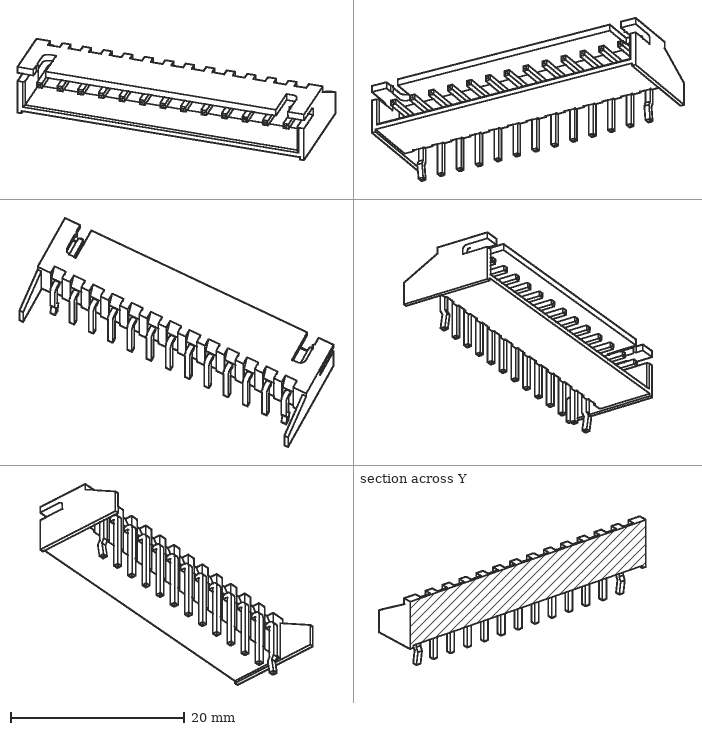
import cadquery as cq

LENGTH = 34.9
BODY_DEPTH = 6.9
HEIGHT = 6.1
TOP_PLATE = 0.8
FLOOR_UNDERSIDE = 0.3
FLOOR_THICKNESS = 0.77
SIDE_WALL = 0.87
CAVITY_DEPTH = 5.0
MOUTH_CHAMFER = 0.2

TOTAL_DEPTH = 11.5
EAR_THICKNESS = 0.5
EAR_TOP_DROP = 3.28

WINDOW_DEPTH = 3.4
WINDOW_DROP = 1.9
WINDOW_RADIUS = 0.5

SLOT_INSET = 1.95
SLOT_WIDTH = 1.45
SLOT_DEPTH = 3.87
SLOT_RADIUS = 0.75
BUMP_HEIGHT = 0.2
BUMP_Y = 1.15

PIN_COUNT = 13
PIN_END_INSET = 2.45
PIN_SIZE = 0.63
PIN_TIP_Y = 0.55
PIN_REAR_Y = 7.9
PIN_CENTRE_Z = 3.7
PIN_BOTTOM = -3.4
TIP_CHAMFER = 0.17
RELIEF_WIDTH = 1.45
RELIEF_DEPTH = 0.2
RAMP_DEPTH = 0.95
RAMP_DROP = 1.92

KINK_OFFSET = 0.28
KINK_START_Z = -0.95
KINK_PEAK_Z = -1.5

HALF_LENGTH = LENGTH / 2
PLATE_UNDERSIDE = HEIGHT - TOP_PLATE
CAVITY_FLOOR = FLOOR_UNDERSIDE + FLOOR_THICKNESS
INNER_HALF = HALF_LENGTH - SIDE_WALL
PITCH = (LENGTH - 2 * PIN_END_INSET) / (PIN_COUNT - 1)
PIN_POSITIONS = [-HALF_LENGTH + PIN_END_INSET + i * PITCH for i in range(PIN_COUNT)]


def box(x_range, y_range, z_range):
    """Axis-aligned block between the given limits."""
    (x0, x1), (y0, y1), (z0, z1) = x_range, y_range, z_range
    return cq.Workplane("XY").box(x1 - x0, y1 - y0, z1 - z0, centered=False).translate((x0, y0, z0))


def side_extrusion(outline, x_centre, width):
    """Extrude a closed (Y, Z) outline symmetrically about x_centre."""
    return outline.close().extrude(width / 2, both=True).translate((x_centre, 0, 0))


def both_ends(solid):
    """The left-end feature together with its mirror image at the right end."""
    return solid.union(solid.mirror("YZ"))


def body_block():
    return box((-HALF_LENGTH, HALF_LENGTH), (0, BODY_DEPTH), (FLOOR_UNDERSIDE, HEIGHT))


def ears():
    """Thin end plates with a sloped rear edge, forming the feet and the rear ears."""
    outline = cq.Workplane("YZ").polyline([
        (0, 0),
        (TOTAL_DEPTH, 0),
        (TOTAL_DEPTH, HEIGHT - EAR_TOP_DROP),
        (BODY_DEPTH, PLATE_UNDERSIDE),
        (0, PLATE_UNDERSIDE),
    ])
    return both_ends(side_extrusion(outline, -HALF_LENGTH + EAR_THICKNESS / 2, EAR_THICKNESS))


def cavity():
    """Mating cavity whose floor and side walls flare outward at the mouth."""
    cavity_height = PLATE_UNDERSIDE - CAVITY_FLOOR
    pocket = box((-INNER_HALF, INNER_HALF), (0, CAVITY_DEPTH), (CAVITY_FLOOR, PLATE_UNDERSIDE))
    flare = (
        cq.Workplane("XZ", origin=(0, 0, PLATE_UNDERSIDE))
        .rect(2 * (INNER_HALF + MOUTH_CHAMFER), 2 * (cavity_height + MOUTH_CHAMFER))
        .workplane(offset=-MOUTH_CHAMFER)
        .rect(2 * INNER_HALF, 2 * cavity_height)
        .loft(ruled=True)
    )
    below_plate = box((-HALF_LENGTH, HALF_LENGTH), (0, MOUTH_CHAMFER), (0, PLATE_UNDERSIDE))
    return pocket.union(flare.intersect(below_plate))


def side_windows():
    """Openings through the side walls, rounded where the rear edge meets the top plate."""
    window = (
        box(
            (-HALF_LENGTH, -INNER_HALF),
            (0, WINDOW_DEPTH),
            (HEIGHT - WINDOW_DROP, PLATE_UNDERSIDE),
        )
        .edges("|X and >Y and >Z")
        .fillet(WINDOW_RADIUS)
    )
    return both_ends(window)


def key_slots():
    """Slots open to the front, with a rounded outer rear corner and a small detent bump."""
    outer_x = -HALF_LENGTH + SLOT_INSET
    slot = (
        box((outer_x, outer_x + SLOT_WIDTH), (0, SLOT_DEPTH), (PLATE_UNDERSIDE, HEIGHT))
        .edges("|Z and <X and >Y")
        .fillet(SLOT_RADIUS)
    )
    bump = (
        cq.Workplane("XY", origin=(outer_x, BUMP_Y, PLATE_UNDERSIDE))
        .polyline([(0, -BUMP_HEIGHT), (BUMP_HEIGHT, 0), (0, BUMP_HEIGHT)])
        .close()
        .extrude(TOP_PLATE)
    )
    return both_ends(slot.cut(bump))


def rear_relief(x):
    """Shallow full-height groove in the rear face that opens into a steep ramp at the top."""
    groove_y = BODY_DEPTH - RELIEF_DEPTH
    outline = cq.Workplane("YZ").polyline([
        (BODY_DEPTH, FLOOR_UNDERSIDE),
        (groove_y, FLOOR_UNDERSIDE),
        (groove_y, HEIGHT - RAMP_DROP),
        (BODY_DEPTH - RAMP_DEPTH, HEIGHT),
        (BODY_DEPTH, HEIGHT),
    ])
    return side_extrusion(outline, x, RELIEF_WIDTH)


def contact(x, kinked):
    """Square contact bent down behind the body, with chamfered tips at both ends."""
    top_z = PIN_CENTRE_Z + PIN_SIZE / 2
    under_z = top_z - PIN_SIZE
    leg_front_y = PIN_REAR_Y - PIN_SIZE
    outline = (
        cq.Workplane("YZ")
        .moveTo(PIN_TIP_Y, under_z)
        .lineTo(PIN_TIP_Y, top_z)
        .lineTo(leg_front_y, top_z)
        .radiusArc((PIN_REAR_Y, under_z), PIN_SIZE)
    )
    if kinked:
        outline = (
            outline
            .lineTo(PIN_REAR_Y, KINK_START_Z)
            .lineTo(PIN_REAR_Y - KINK_OFFSET, KINK_PEAK_Z)
            .lineTo(PIN_REAR_Y, PIN_BOTTOM)
            .lineTo(leg_front_y, PIN_BOTTOM)
            .lineTo(leg_front_y - KINK_OFFSET, KINK_PEAK_Z)
            .lineTo(leg_front_y, KINK_START_Z)
        )
    else:
        outline = outline.lineTo(PIN_REAR_Y, PIN_BOTTOM).lineTo(leg_front_y, PIN_BOTTOM)
    pin = side_extrusion(outline.lineTo(leg_front_y, under_z), x, PIN_SIZE)
    return pin.faces("<Y or <Z").chamfer(TIP_CHAMFER)


housing = body_block().cut(cavity()).union(ears())
housing = housing.cut(side_windows()).cut(key_slots())
for pin_x in PIN_POSITIONS:
    housing = housing.cut(rear_relief(pin_x))

result = housing
for pin_x in PIN_POSITIONS:
    is_end_pin = pin_x in (PIN_POSITIONS[0], PIN_POSITIONS[-1])
    result = result.union(contact(pin_x, is_end_pin))